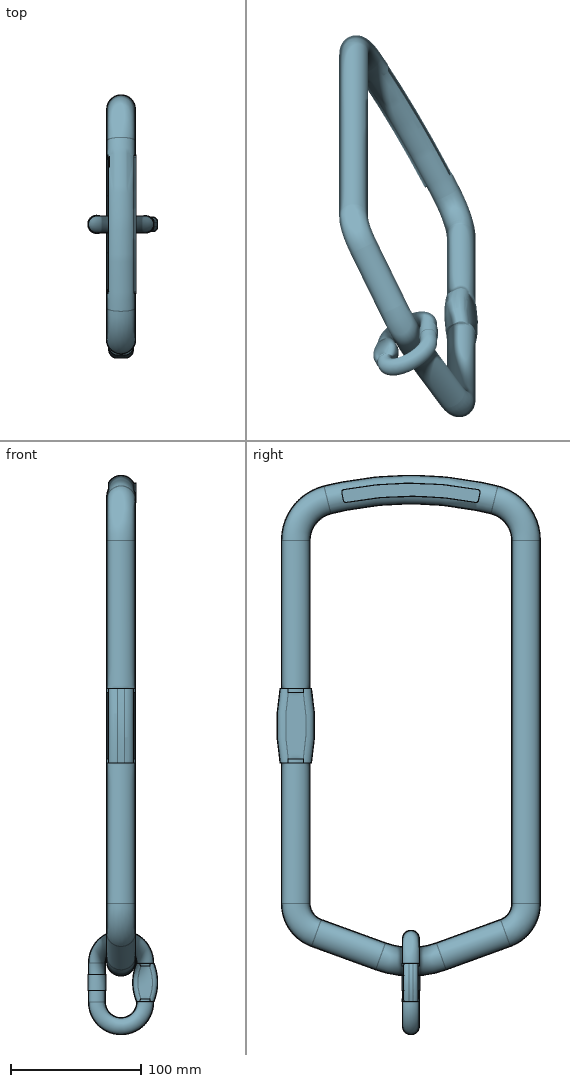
import cadquery as cq
import math

RING_DIAMETER = 22.0
RING_HALF_WIDTH = 88.25
RING_CENTRELINE_HEIGHT = 361.76
ARCH_RADIUS = 265.0
SHOULDER_RADIUS = 32.0
ELBOW_RADIUS = 24.0
BOTTOM_RADIUS = 68.0
BOTTOM_SLOPE = math.radians(20)

GRIP_WIDTH = 10.0
GRIP_HALF_ANGLE = math.radians(11.4)
GRIP_CORNER_RADIUS = 2.0
GRIP_FLAT_X = -9.0
GRIP_PAD_X = 11.6

RING_NUT_LENGTH = 57.0
RING_NUT_HALF_WIDTH = 14.61
RING_NUT_END_HALF_WIDTH = 12.0
RING_NUT_HALF_THICKNESS = 9.5
RING_NUT_FLAT_LENGTH = 51.0
RING_NUT_SLEEVE_DIAMETER = 22.4
RING_NUT_ROUNDING = 6.7
RING_NUT_DROP = 2.8

LINK_DIAMETER = 13.0
LINK_STRAIGHT = 30.0
LINK_BEND_RADIUS = 18.5
COLLAR_DIAMETER = 13.97
COLLAR_LENGTH = 12.0
LINK_CLEARANCE = 0.05

LINK_NUT_LENGTH = 29.0
LINK_NUT_FLAT_LENGTH = 25.5
LINK_NUT_SLEEVE_DIAMETER = 13.4
LINK_NUT_HALF_WIDTH = 9.595
LINK_NUT_END_HALF_WIDTH = 6.8
LINK_NUT_HALF_THICKNESS = 5.6
LINK_NUT_ROUNDING = 4.0


def barrel_nut(length, half_width, end_half_width, half_thickness, rounding):
    """Nut along Z, flat across X, bulging along Y, with the four long edges rounded."""
    end = length / 2
    return (
        cq.Workplane("YZ")
        .moveTo(-end_half_width, -end)
        .lineTo(end_half_width, -end)
        .threePointArc((half_width, 0), (end_half_width, end))
        .lineTo(-end_half_width, end)
        .threePointArc((-half_width, 0), (-end_half_width, -end))
        .close()
        .extrude(half_thickness, both=True)
        .faces("<Y or >Y")
        .edges("<X or >X")
        .fillet(rounding)
    )


def nut_sleeve(diameter, length):
    """Thin round sleeve that shows as a collar at the two ends of a nut."""
    return cq.Workplane("XY").circle(diameter / 2).extrude(length / 2, both=True)


def nut_gap(bar_diameter, length):
    """Block that clears the round bar where the flats of a nut lie below its surface."""
    return cq.Workplane("XY").box(2 * bar_diameter, 2 * bar_diameter, length)


arch_top_z = RING_CENTRELINE_HEIGHT
arch_centre_z = arch_top_z - ARCH_RADIUS
shoulder_centre_y = RING_HALF_WIDTH - SHOULDER_RADIUS
arch_angle = math.asin(shoulder_centre_y / (ARCH_RADIUS - SHOULDER_RADIUS))
arch_end_y = ARCH_RADIUS * math.sin(arch_angle)
arch_end_z = arch_centre_z + ARCH_RADIUS * math.cos(arch_angle)
leg_top_z = arch_end_z - SHOULDER_RADIUS * math.cos(arch_angle)
shoulder_mid_angle = (math.pi / 2 - arch_angle) / 2
shoulder_mid_y = shoulder_centre_y + SHOULDER_RADIUS * math.cos(shoulder_mid_angle)
shoulder_mid_z = leg_top_z + SHOULDER_RADIUS * math.sin(shoulder_mid_angle)

bottom_end_y = BOTTOM_RADIUS * math.sin(BOTTOM_SLOPE)
bottom_end_z = BOTTOM_RADIUS * (1 - math.cos(BOTTOM_SLOPE))
elbow_centre_y = RING_HALF_WIDTH - ELBOW_RADIUS
elbow_end_y = elbow_centre_y + ELBOW_RADIUS * math.sin(BOTTOM_SLOPE)
elbow_end_z = bottom_end_z + (elbow_end_y - bottom_end_y) * math.tan(BOTTOM_SLOPE)
leg_bottom_z = elbow_end_z + ELBOW_RADIUS * math.cos(BOTTOM_SLOPE)
elbow_mid_angle = (math.pi / 2 - BOTTOM_SLOPE) / 2
elbow_mid_y = elbow_centre_y + ELBOW_RADIUS * math.cos(elbow_mid_angle)
elbow_mid_z = leg_bottom_z - ELBOW_RADIUS * math.sin(elbow_mid_angle)

ring_nut_z = (leg_top_z + leg_bottom_z) / 2 - RING_NUT_DROP


def ring_bar():
    """Round bar swept once around the closed centreline."""
    centreline = (
        cq.Workplane("YZ")
        .moveTo(RING_HALF_WIDTH, leg_bottom_z)
        .lineTo(RING_HALF_WIDTH, leg_top_z)
        .threePointArc((shoulder_mid_y, shoulder_mid_z), (arch_end_y, arch_end_z))
        .threePointArc((0, arch_top_z), (-arch_end_y, arch_end_z))
        .threePointArc((-shoulder_mid_y, shoulder_mid_z), (-RING_HALF_WIDTH, leg_top_z))
        .lineTo(-RING_HALF_WIDTH, leg_bottom_z)
        .threePointArc((-elbow_mid_y, elbow_mid_z), (-elbow_end_y, elbow_end_z))
        .lineTo(-bottom_end_y, bottom_end_z)
        .threePointArc((0, 0), (bottom_end_y, bottom_end_z))
        .lineTo(elbow_end_y, elbow_end_z)
        .threePointArc((elbow_mid_y, elbow_mid_z), (RING_HALF_WIDTH, leg_bottom_z))
        .close()
    )
    return (
        cq.Workplane("XY", origin=(0, RING_HALF_WIDTH, leg_bottom_z))
        .circle(RING_DIAMETER / 2)
        .sweep(centreline)
    )


def grip_block(start_x, end_x):
    """Curved bar following the arch, with ends square to it, between two X positions."""
    inner = ARCH_RADIUS - GRIP_WIDTH / 2
    outer = ARCH_RADIUS + GRIP_WIDTH / 2
    sine = math.sin(GRIP_HALF_ANGLE)
    cosine = math.cos(GRIP_HALF_ANGLE)
    return (
        cq.Workplane("YZ", origin=(start_x, 0, arch_centre_z))
        .moveTo(-inner * sine, inner * cosine)
        .threePointArc((0, inner), (inner * sine, inner * cosine))
        .lineTo(outer * sine, outer * cosine)
        .threePointArc((0, outer), (-outer * sine, outer * cosine))
        .close()
        .extrude(end_x - start_x)
        .edges("|X")
        .fillet(GRIP_CORNER_RADIUS)
    )


def make_ring():
    """Bent bar with its barrel nut and the grip on the arch."""
    nut_centre = (0, -RING_HALF_WIDTH, ring_nut_z)
    sleeve = nut_sleeve(RING_NUT_SLEEVE_DIAMETER, RING_NUT_LENGTH).translate(nut_centre)
    nut_space = nut_gap(RING_DIAMETER, RING_NUT_FLAT_LENGTH).translate(nut_centre)
    nut = barrel_nut(
        RING_NUT_LENGTH,
        RING_NUT_HALF_WIDTH,
        RING_NUT_END_HALF_WIDTH,
        RING_NUT_HALF_THICKNESS,
        RING_NUT_ROUNDING,
    ).translate(nut_centre)
    return (
        ring_bar()
        .union(sleeve)
        .cut(nut_space)
        .union(nut)
        .cut(grip_block(-RING_DIAMETER, GRIP_FLAT_X))
        .union(grip_block(0, GRIP_PAD_X))
    )


link_top_z = RING_DIAMETER / 2 + LINK_CLEARANCE + LINK_DIAMETER / 2
link_centre_z = link_top_z - LINK_BEND_RADIUS - LINK_STRAIGHT / 2


def make_link():
    """Oval link with a collar on its -X leg and a barrel nut on its +X leg."""
    half = LINK_STRAIGHT / 2
    centreline = (
        cq.Workplane("XZ")
        .moveTo(-LINK_BEND_RADIUS, -half)
        .lineTo(-LINK_BEND_RADIUS, half)
        .threePointArc((0, half + LINK_BEND_RADIUS), (LINK_BEND_RADIUS, half))
        .lineTo(LINK_BEND_RADIUS, -half)
        .threePointArc((0, -half - LINK_BEND_RADIUS), (-LINK_BEND_RADIUS, -half))
        .close()
    )
    bar = (
        cq.Workplane("XY", origin=(-LINK_BEND_RADIUS, 0, -half))
        .circle(LINK_DIAMETER / 2)
        .sweep(centreline)
    )
    collar = (
        cq.Workplane("XY", origin=(-LINK_BEND_RADIUS, 0, -COLLAR_LENGTH / 2))
        .circle(COLLAR_DIAMETER / 2)
        .extrude(COLLAR_LENGTH)
    )
    nut_centre = (LINK_BEND_RADIUS, 0, 0)
    sleeve = nut_sleeve(LINK_NUT_SLEEVE_DIAMETER, LINK_NUT_LENGTH).translate(nut_centre)
    nut_space = nut_gap(LINK_DIAMETER, LINK_NUT_FLAT_LENGTH).translate(nut_centre)
    nut = (
        barrel_nut(
            LINK_NUT_LENGTH,
            LINK_NUT_HALF_WIDTH,
            LINK_NUT_END_HALF_WIDTH,
            LINK_NUT_HALF_THICKNESS,
            LINK_NUT_ROUNDING,
        )
        .rotate((0, 0, 0), (0, 0, 1), 90)
        .translate(nut_centre)
    )
    return bar.union(sleeve).cut(nut_space).union(collar).union(nut).translate((0, 0, link_centre_z))


ring = make_ring()
link = make_link()
result = cq.Compound.makeCompound([ring.val(), link.val()])